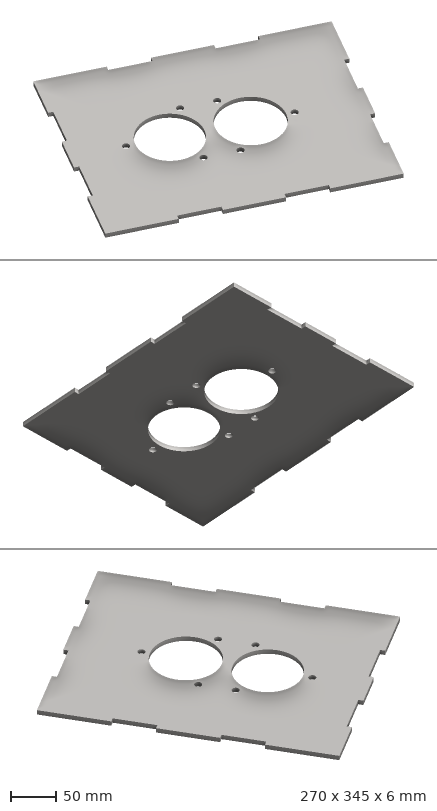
import cadquery as cq

width = 270.0
length = 345.0
thickness = 6.0

notch_length = 51.0
notch_depth = thickness
side_notch_offset = 62.0
end_notch_spacing = 97.0
end_notch_shift = 5.2

upper_opening_diameter = 82.0
upper_opening_y = 37.3
lower_opening_diameter = 80.0
lower_opening_y = -56.2
screw_hole_diameter = 9.0
screw_circle_radius = 50.7


def cut_notches(plate, centers, size_x, size_y):
    """Cut through-notches centered on the plate edge."""
    cutter = cq.Workplane("XY").pushPoints(centers).rect(size_x, size_y).extrude(thickness)
    return plate.cut(cutter)


def cut_opening(plate, center_y, diameter, first_screw_angle):
    """Cut a round opening and its ring of three screw holes."""
    cutter = cq.Workplane("XY").center(0, center_y).circle(diameter / 2).extrude(thickness)
    screws = (
        cq.Workplane("XY")
        .center(0, center_y)
        .polarArray(screw_circle_radius, first_screw_angle, 360, 3)
        .circle(screw_hole_diameter / 2)
        .extrude(thickness)
    )
    return plate.cut(cutter).cut(screws)


result = cq.Workplane("XY").box(width, length, thickness, centered=(True, True, False))

side_centers = [(sx * width / 2, sy * side_notch_offset) for sx in (-1, 1) for sy in (-1, 1)]
result = cut_notches(result, side_centers, 2 * notch_depth, notch_length)

end_centers = [
    (end * end_notch_shift + side * end_notch_spacing / 2, end * length / 2)
    for end in (-1, 1)
    for side in (-1, 1)
]
result = cut_notches(result, end_centers, notch_length, 2 * notch_depth)

result = cut_opening(result, upper_opening_y, upper_opening_diameter, 90)
result = cut_opening(result, lower_opening_y, lower_opening_diameter, -90)